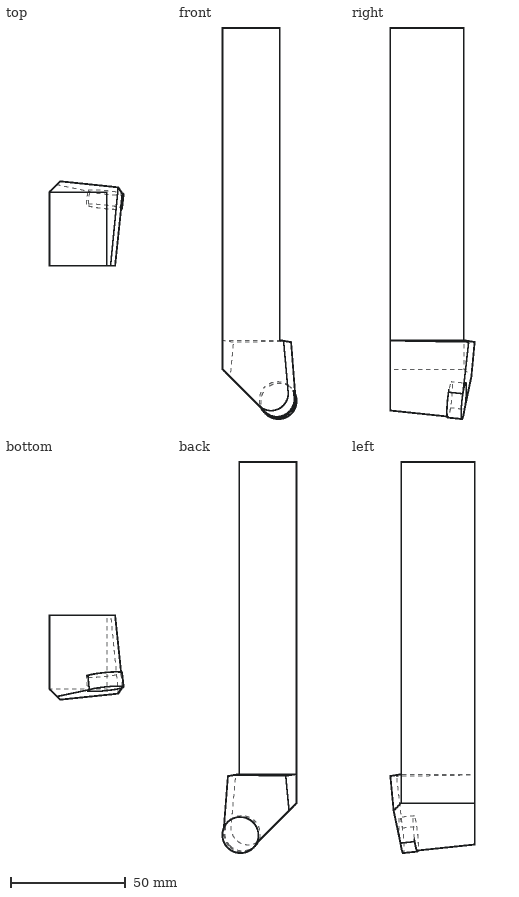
import cadquery as cq
import math

total_height = 170.4
shank_width = 25.0
shank_depth = 32.0
shoulder_height = 34.5

insert_diameter = 15.8
insert_thickness = 6.3
insert_x = 24.5
insert_y = 32.0

nose_radius = 7.5
rake_angle = 6.0
flank_angle = 4.8
shoulder_slope = 9.5
head_reach = 68.2
reach_margin = 17.0

rake_tilt = math.tan(math.radians(rake_angle))
rake_normal_length = math.sqrt(1 + 2 * rake_tilt ** 2)
insert_z = insert_diameter / 2 * math.sqrt(1 - (rake_tilt / rake_normal_length) ** 2)
rake_plane = cq.Plane(
    origin=(insert_x, insert_y, insert_z),
    xDir=(1, 0, 1),
    normal=(rake_tilt, 1, -rake_tilt),
)


def make_head_blank():
    """Nose profile with a 45 degree end face and a leaning flank, square to the rake face."""
    flank_turn = math.radians(45 + flank_angle)
    across, along = math.cos(flank_turn), math.sin(flank_turn)
    flank_start = (nose_radius * along, nose_radius * across)
    flank_end = (flank_start[0] + head_reach * across, flank_start[1] - head_reach * along)
    middle_turn = (math.pi + math.pi / 2 - flank_turn) / 2
    nose_middle = (nose_radius * math.cos(middle_turn), nose_radius * math.sin(middle_turn))
    return (
        cq.Workplane(rake_plane)
        .moveTo(-nose_radius, 0)
        .threePointArc(nose_middle, flank_start)
        .lineTo(*flank_end)
        .lineTo(-nose_radius, flank_end[1])
        .close()
        .extrude(-head_reach)
    )


def shoulder_profile(plane, shank_size):
    """Prism outline below a shoulder that is level over the shank and slopes beyond it."""
    drop = reach_margin * math.tan(math.radians(shoulder_slope))
    reach = shank_size + reach_margin
    return (
        cq.Workplane(plane)
        .moveTo(0, -reach_margin)
        .lineTo(reach, -reach_margin)
        .lineTo(reach, shoulder_height - drop)
        .lineTo(shank_size, shoulder_height)
        .lineTo(0, shoulder_height)
        .close()
    )


def make_head_envelope():
    """Space for the head: sloped shoulders and a 45 degree rear left face."""
    right_limit = shoulder_profile("XZ", shank_width).extrude(-head_reach)
    rear_limit = shoulder_profile("YZ", shank_depth).extrude(head_reach)
    plan_limit = (
        cq.Workplane("XY", origin=(0, 0, -reach_margin))
        .polyline([
            (0, 0),
            (head_reach, 0),
            (head_reach, shank_depth + head_reach),
            (0, shank_depth),
        ])
        .close()
        .extrude(shoulder_height + reach_margin)
    )
    return right_limit.intersect(rear_limit).intersect(plan_limit)


def make_insert():
    return cq.Workplane(rake_plane).circle(insert_diameter / 2).extrude(-insert_thickness)


def make_holder():
    shank = cq.Workplane("XY", origin=(0, 0, shoulder_height)).box(
        shank_width, shank_depth, total_height - shoulder_height, centered=False
    )
    head = make_head_blank().intersect(make_head_envelope())
    return shank.union(head).clean()


insert = make_insert()
holder = make_holder().cut(insert)

result = cq.Compound.makeCompound([holder.val(), insert.val()])